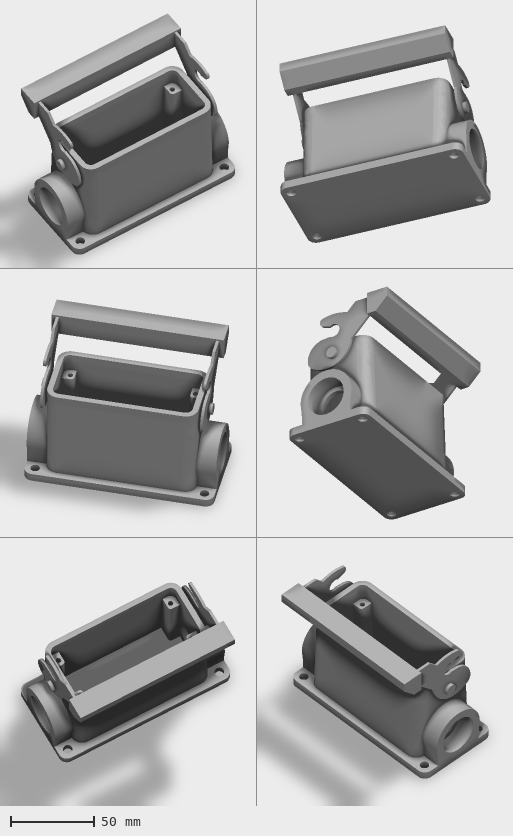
import cadquery as cq
import math

base_width = 56.4
base_length = 117.0
base_height = 5.3
base_corner_radius = 5.3
mount_hole_diameter = 5.7
mount_hole_x = 22.3
mount_hole_y = 52.3

rim_height = 63.8
taper_top = 58.5
rim_half_width = 21.5
foot_half_width = 23.8
wall_half_length = 46.6
wall_corner_radius = 7.6
wall_thickness = 3.5
floor_height = base_height

post_top = 51.7
post_inner_x = 9.8
post_inner_y = 35.8
post_edge_radius = 2.0
screw_hole_diameter = 3.3
screw_hole_x = 13.5
screw_hole_y = 38.6

entry_height = 20.0
entry_radius = 18.0
entry_foot_half_width = 17.0
entry_waist_angle = math.radians(10)
entry_bore_diameter = 19.1
entry_counterbore_diameter = 25.0

pivot_height = 53.8
peg_diameter = 5.3
peg_head_diameter = 7.1
peg_head_end = 52.6

plate_inner_y = 48.5
plate_thickness = 1.8
plate_outer_y = plate_inner_y + plate_thickness
bar_left = -40.0
bar_width = 14.2
bar_right = bar_left + bar_width
bar_top = 86.8
bar_height = 14.4
bar_bottom = bar_top - bar_height
bar_bevel = 8.2
bar_half_length = 53.2

arm_top = 85.6
arm_bottom = 74.0
arm_top_end = -15.8
finger_radius = 27.7
finger_start_x = -9.8
finger_end_x = 8.2
slot_height = 70.1
slot_radius = 4.3
slot_upper_x = 2.6
slot_lower_x = 2.1
lobe_center_x = 5.8
lobe_radius = 12.2
finger_tip = (9.5, 77.9)
finger_underside = (7.7, 75.1)
lobe_nose = (17.2, 50.0)
lobe_belly_end = (14.0, 47.3)
lobe_belly = (-2.3, 46.3)
arm_foot = (-12.6, 60.7)


def height_on_circle(x, center_z, radius):
    """Height at x of the upper half of a circle centred on the Z axis."""
    return center_z + math.sqrt(radius**2 - x**2)


def wall_section(half_width, inset, height):
    """Rounded rectangle of the walls, moved inward by inset."""
    return (
        cq.Sketch()
        .rect(2 * (half_width - inset), 2 * (wall_half_length - inset))
        .vertices()
        .fillet(wall_corner_radius - inset)
        .moved(cq.Location(cq.Vector(0, 0, height)))
    )


def tapered_block(bottom, inset):
    """Solid inside the wall faces: tapered up to taper_top, straight from there to the rim."""
    spread_per_height = (foot_half_width - rim_half_width) / (taper_top - base_height)
    bottom_half_width = rim_half_width + spread_per_height * (taper_top - bottom)
    lower = cq.Workplane("XY").placeSketch(
        wall_section(bottom_half_width, inset, bottom),
        wall_section(rim_half_width, inset, taper_top),
    ).loft(ruled=True)
    upper = cq.Workplane("XY").placeSketch(
        wall_section(rim_half_width, inset, taper_top)
    ).extrude(rim_height - taper_top)
    return lower.union(upper)


def make_base():
    """Rounded base flange with four mounting holes."""
    return (
        cq.Workplane("XY")
        .rect(base_width, base_length)
        .extrude(base_height)
        .edges("|Z")
        .fillet(base_corner_radius)
        .faces(">Z")
        .workplane()
        .rect(2 * mount_hole_x, 2 * mount_hole_y, forConstruction=True)
        .vertices()
        .hole(mount_hole_diameter)
    )


def end_plane(side, distance):
    """XZ plane at a distance along Y, with its normal pointing out of that end."""
    return cq.Plane(origin=(0, side * distance, 0), xDir=(-side, 0, 0), normal=(0, side, 0))


def end_cylinder(side, height, diameter, start, end):
    """Cylinder along Y between two distances from the middle."""
    plane = end_plane(side, start)
    return cq.Workplane(plane).center(0, height).circle(diameter / 2).extrude(end - start)


def make_entry(side):
    """Round cable entry whose sides flow down into a slightly narrower foot."""
    waist_x = entry_radius * math.cos(entry_waist_angle)
    waist_z = entry_height - entry_radius * math.sin(entry_waist_angle)
    flare_width = waist_x - entry_foot_half_width
    flare_height = waist_z - base_height
    flare_radius = (flare_width**2 + flare_height**2) / (2 * flare_width)
    flare_mid_z = base_height + flare_height / 2
    flare_mid_x = entry_foot_half_width + flare_radius - math.sqrt(flare_radius**2 - flare_height**2 / 4)
    start = wall_half_length - wall_thickness / 2
    return (
        cq.Workplane(end_plane(side, start))
        .moveTo(-entry_foot_half_width, 0)
        .lineTo(entry_foot_half_width, 0)
        .lineTo(entry_foot_half_width, base_height)
        .threePointArc((flare_mid_x, flare_mid_z), (waist_x, waist_z))
        .threePointArc((0, entry_height + entry_radius), (-waist_x, waist_z))
        .threePointArc((-flare_mid_x, flare_mid_z), (-entry_foot_half_width, base_height))
        .close()
        .extrude(base_length / 2 - start)
    )


def make_post(cavity, x_side, y_side):
    """Corner post with a screw hole, filling one corner of the cavity."""
    height = post_top - floor_height
    inner_edge_middle = (x_side * post_inner_x, y_side * post_inner_y, floor_height + height / 2)
    post = (
        cq.Workplane("XY", origin=(x_side * post_inner_x, y_side * post_inner_y, floor_height))
        .rect(x_side * foot_half_width, y_side * wall_half_length, centered=False)
        .extrude(height)
        .edges(cq.NearestToPointSelector(inner_edge_middle))
        .fillet(post_edge_radius)
        .intersect(cavity)
    )
    screw_hole = (
        cq.Workplane("XY", origin=(x_side * screw_hole_x, y_side * screw_hole_y, floor_height))
        .circle(screw_hole_diameter / 2)
        .extrude(height)
    )
    return post.cut(screw_hole)


def make_peg(side):
    """Headed pivot peg standing on one end wall."""
    shaft_start = wall_half_length - wall_thickness / 2
    shaft = end_cylinder(side, pivot_height, peg_diameter, shaft_start, plate_outer_y)
    head = end_cylinder(side, pivot_height, peg_head_diameter, plate_outer_y, peg_head_end)
    return shaft.union(head)


def make_housing():
    """Open-topped housing with its flange, cable entries, screw posts and pivot pegs."""
    cavity = tapered_block(floor_height, wall_thickness)
    housing = make_base().union(tapered_block(base_height, 0))
    for side in (-1, 1):
        housing = housing.union(make_entry(side))
    housing = housing.cut(cavity)
    for x_side in (-1, 1):
        for y_side in (-1, 1):
            housing = housing.union(make_post(cavity, x_side, y_side))
    for side in (-1, 1):
        inside = wall_half_length - 2 * wall_thickness
        bore = end_cylinder(side, entry_height, entry_bore_diameter, inside, wall_half_length)
        counterbore = end_cylinder(
            side, entry_height, entry_counterbore_diameter, wall_half_length, base_length / 2
        )
        housing = housing.cut(bore).cut(counterbore).union(make_peg(side))
    return housing


def make_plate(side):
    """Side plate with the arm, the locking finger, the slot and the lobe around the pivot."""
    finger_start = (finger_start_x, height_on_circle(finger_start_x, pivot_height, finger_radius))
    finger_end = (finger_end_x, height_on_circle(finger_end_x, pivot_height, finger_radius))
    slot_upper = (slot_upper_x, height_on_circle(slot_upper_x, slot_height, slot_radius))
    slot_lower = (slot_lower_x, slot_height - math.sqrt(slot_radius**2 - slot_lower_x**2))
    lobe_diagonal = lobe_radius * math.sqrt(0.5)
    mid_y = side * (plate_inner_y + plate_thickness / 2)
    return (
        cq.Workplane("XZ", origin=(0, mid_y, 0))
        .moveTo(bar_right, arm_top)
        .lineTo(arm_top_end, arm_top)
        .lineTo(*finger_start)
        .threePointArc((0, pivot_height + finger_radius), finger_end)
        .threePointArc(finger_tip, finger_underside)
        .lineTo(*slot_upper)
        .threePointArc((-slot_radius, slot_height), slot_lower)
        .lineTo(lobe_center_x, pivot_height + lobe_radius)
        .threePointArc(
            (lobe_center_x + lobe_diagonal, pivot_height + lobe_diagonal),
            (lobe_center_x + lobe_radius, pivot_height),
        )
        .threePointArc(lobe_nose, lobe_belly_end)
        .threePointArc(lobe_belly, arm_foot)
        .lineTo(bar_right, arm_bottom)
        .close()
        .extrude(plate_thickness / 2, both=True)
    )


def make_lever():
    """Handle bar and its two side plates, hooked onto the pegs."""
    lever = (
        cq.Workplane("XZ")
        .moveTo(bar_left, bar_top)
        .lineTo(bar_right, bar_top)
        .lineTo(bar_right, bar_bottom)
        .lineTo(bar_left + bar_bevel, bar_bottom)
        .lineTo(bar_left, bar_bottom + bar_bevel)
        .close()
        .extrude(bar_half_length, both=True)
    )
    for side in (-1, 1):
        hole = end_cylinder(side, pivot_height, peg_diameter, plate_inner_y, plate_outer_y)
        lever = lever.union(make_plate(side).cut(hole))
    return lever


housing = make_housing()
lever = make_lever()
result = cq.Compound.makeCompound([housing.val(), lever.val()])